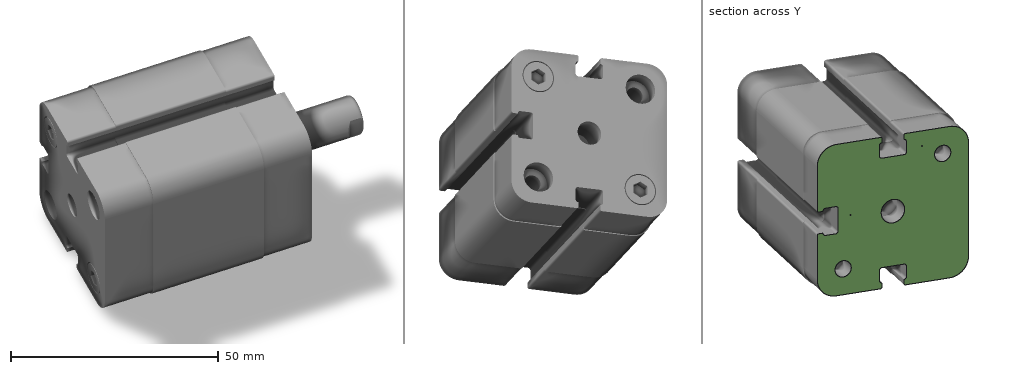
import cadquery as cq


total_length = 75.0
rod_length = 20.5
cap_length = 12.75
housing_length = total_length - rod_length
barrel_length = housing_length - 2 * cap_length
front_y = -total_length / 2
housing_end_y = front_y + housing_length

barrel_width = 40.1
barrel_step = 0.2
cap_width = barrel_width - 2 * barrel_step
corner_radius = 5.0

slot_opening = 5.55
slot_width = 7.0
slot_depth = 5.5
slot_cavity_top = 18.2
slot_corner_radius = 0.6
lip_edge_radius = 0.5
slot_angles = (0, 90, 180)

hole_offset = 26.0 / 2
mount_hole_diameter = 4.1
mount_bore_diameter = 7.5
mount_bore_depth = 4.5
screw_bore_diameter = 8.0
screw_head_diameter = 7.5
screw_gap_depth = 0.75
hex_width_across_corners = 4.1
hex_depth = 2.25

port_diameter = 6.0
port_depth = 9.0

rod_diameter = 10.0
rod_tip_radius = 1.2
flat_distance = 8.0
flat_length = 3.5


def section_plane(y):
    """Sketch plane facing -Y: local x is X, local y is Z, negative extrusions run to +Y."""
    return cq.Workplane(cq.Plane(origin=(0, y, 0), xDir=(1, 0, 0), normal=(0, -1, 0)))


def cut_from_front(sketch, depth):
    """Cutter that reaches the given depth into the part from the sketch plane."""
    return sketch.extrude(-depth)


def t_slot(width, y, length):
    """T-slot cutter opening to +Z, with rounded cavity corners and lip edges."""
    outer = width / 2
    floor = outer - slot_depth
    cavity_height = slot_cavity_top - floor
    cavity = (
        section_plane(y)
        .center(0, floor + cavity_height / 2)
        .rect(slot_width, cavity_height)
        .extrude(-length)
        .edges("|Y")
        .fillet(slot_corner_radius)
    )
    opening = (
        section_plane(y)
        .center(0, (floor + outer) / 2)
        .rect(slot_opening, slot_depth)
        .extrude(-length)
    )
    flare_half_width = slot_opening / 2 + lip_edge_radius
    flare = (
        section_plane(y)
        .moveTo(-flare_half_width, outer)
        .radiusArc((-slot_opening / 2, outer - lip_edge_radius), lip_edge_radius)
        .lineTo(slot_opening / 2, outer - lip_edge_radius)
        .radiusArc((flare_half_width, outer), lip_edge_radius)
        .close()
        .extrude(-length)
    )
    return cavity.union(opening).union(flare)


def housing_section(width, y, length):
    """Rounded square block with T-slots on the top, left and bottom sides."""
    block = section_plane(y).rect(width, width).extrude(-length)
    block = block.edges("|Y").fillet(corner_radius)
    slot = t_slot(width, y, length)
    for angle in slot_angles:
        block = block.cut(slot.rotate((0, 0, 0), (0, 1, 0), -angle))
    return block


def piston_rod():
    """Round rod with a rounded tip and two wrench flats facing -X and +X."""
    radius = rod_diameter / 2
    tip_y = housing_end_y + rod_length
    rod = (
        cq.Workplane("XY")
        .moveTo(0, housing_end_y)
        .lineTo(radius, housing_end_y)
        .lineTo(radius, tip_y - rod_tip_radius)
        .radiusArc((radius - rod_tip_radius, tip_y), -rod_tip_radius)
        .lineTo(0, tip_y)
        .close()
        .revolve(360, (0, 0), (0, 1))
    )
    flat_x = flat_distance / 2
    flat_cut = radius - flat_x
    for side in (-1, 1):
        notch = (
            cq.Workplane("XY")
            .moveTo(side * flat_x, tip_y)
            .lineTo(side * flat_x, tip_y - flat_length)
            .lineTo(side * radius, tip_y - flat_length - flat_cut)
            .lineTo(side * radius, tip_y)
            .close()
            .extrude(radius, both=True)
        )
        rod = rod.cut(notch)
    return rod


def mounting_holes():
    """Two counterbored holes on one diagonal, through the whole housing."""
    centres = [(hole_offset, hole_offset), (-hole_offset, -hole_offset)]
    holes = section_plane(front_y).pushPoints(centres).circle(mount_hole_diameter / 2)
    bores = section_plane(front_y).pushPoints(centres).circle(mount_bore_diameter / 2)
    return cut_from_front(holes, housing_length).union(cut_from_front(bores, mount_bore_depth))


def screw_recesses():
    """Ring gap around each flush screw head, and its hexagon socket."""
    centres = [(-hole_offset, hole_offset), (hole_offset, -hole_offset)]
    gaps = (
        section_plane(front_y)
        .pushPoints(centres)
        .circle(screw_bore_diameter / 2)
        .circle(screw_head_diameter / 2)
    )
    sockets = (
        section_plane(front_y)
        .transformed(rotate=(0, 0, 90))
        .pushPoints([(z, -x) for x, z in centres])
        .polygon(6, hex_width_across_corners)
    )
    return cut_from_front(gaps, screw_gap_depth).union(cut_from_front(sockets, hex_depth))


def front_port():
    """Blind round hole on the cylinder axis."""
    return cut_from_front(section_plane(front_y).circle(port_diameter / 2), port_depth)


front_cap = housing_section(cap_width, front_y, cap_length)
barrel = housing_section(barrel_width, front_y + cap_length, barrel_length)
rear_cap = housing_section(cap_width, housing_end_y - cap_length, cap_length)

result = front_cap.union(barrel).union(rear_cap).union(piston_rod())
result = result.cut(mounting_holes()).cut(screw_recesses()).cut(front_port())